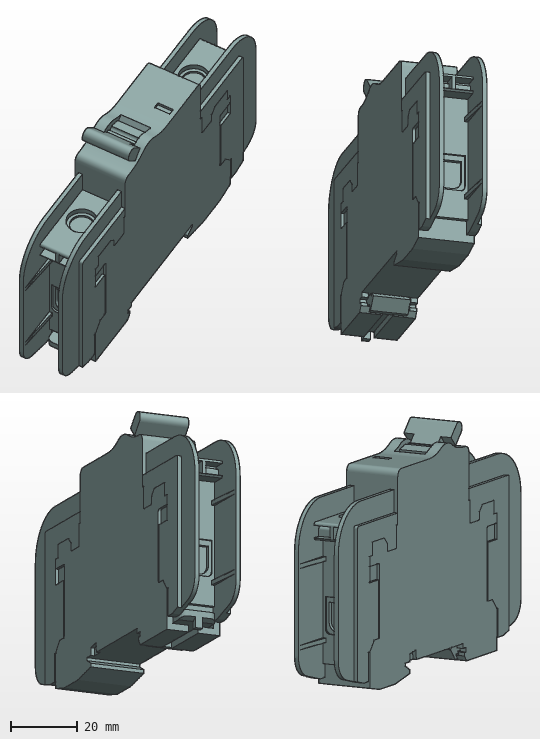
import cadquery as cq
import math


LENGTH = 115.7
WIDTH = 17.6
HEIGHT = 74.0
HALF_WIDTH = WIDTH / 2

TOP_Z = 66.0
TOP_HALF = 22.6
TOP_CORNER_R = 2.2
NECK_HALF = 23.3
NECK_TOP_Z = 49.1
NECK_BOTTOM_Z = 41.9
NECK_ROOT_R = 0.6
STEP_INNER_Y = 29.2
STEP_OUTER_Y = 38.5
STEP_Z = 46.4
STEP_CHAMFER = 2.0
END_Y = 40.3
END_TOP_Z = 42.2
RAIL_Z = 5.7

HOOK_ROOT_Y = 17.6
HOOK_TIP_Y = 14.8
HOOK_ROOT_Z = 4.7
HOOK_TIP_Z = (2.1, 3.2)
HOOK_FLAT_Y = (24.3, 34.0)
HOOK_FLAT_Z = 0.3
HOOK_END_Z = 1.7

FOOT_TOE_Y = -21.1
FOOT_LIP_Y = -19.7
FOOT_LIP_Z = (1.7, 2.8)
FOOT_GROOVE_Y = -20.7
FOOT_GROOVE_TOP_Z = 4.2
FOOT_FRONT_Y = -18.7

HUMP_START_Y = 2.5
HUMP_PEAK_Y = -8.3
HUMP_CREST_HALF = 3.6
HUMP_CREST_Z = 67.9

POCKET_DEPTH = 0.9
POCKET_Y = 34.0
POCKET_TOP_Z = 39.1
POCKET_BOTTOM_Z = 16.1
POCKET_CORNER_R = 0.7
POCKET_SLOPE_Y = 37.4
POCKET_SLOPE_Z = 12.8
TAB_Y = 34.7
TAB_TOP_Z = 34.1

WINDOW_X = (1.9, 7.2)
WINDOW_Y = (6.8, 8.9)
WINDOW_DEPTH = 0.9
NOTCH_DEPTH = 1.2
NOTCH_OUTLINE = [(HOOK_TIP_Y, RAIL_Z), (HOOK_TIP_Y, 8.1), (11.1, 8.7), (10.8, RAIL_Z)]

SLOT_HALF_X = 5.2
SLOT_FLOOR_Z = 64.8
SLOT_BACK_TOP = (-1.2, 66.4)
SLOT_BACK_FOOT_Y = -2.9
SLOT_FRONT_Y = -12.3
ROTOR_HALF_X = 4.9
ROTOR_FLAP_START = (-3.7, 66.5)
ROTOR_FLAP_END = (-7.4, 67.6)
ROTOR_GROOVE_MID = (-8.2, 66.7)
ROTOR_GROOVE_END = (-9.1, 66.9)
ROTOR_TOP_Z = 67.6
ROTOR_END_Y = -11.0
STEM_HALF_X = 4.6
HEAD_HALF_X = 8.1
HEAD_RADIUS = 2.1
HEAD_TIP_Y = -17.4
HEAD_TIP_Z = HEIGHT - HEAD_RADIUS
HEAD_LENGTH = 4.9
STEM_LENGTH = 4.6
TOGGLE_ANGLE = 45.0

CHANNEL_HALF_X = 6.7
CHANNEL_Z = 2.1
STEM_SLOT_HALF_X = 1.6
CLIP_HALF_X = 5.9
CLIP_Z = 2.8
CLIP_END_Y = -44.6
CLIP_CORNER_R = 2.2
CLIP_FOOT_Z = 0.3
CLIP_HOOK_HALF_X = 1.2
CLIP_HOOK_Y = -42.5
CLIP_END_Z = 3.7
JAW_OUTLINE = [(-17.6, 5.3), (-16.2, 3.9), (-19.3, CLIP_FOOT_Z), (FOOT_TOE_Y, CLIP_FOOT_Z), (-20.7, 4.2)]

FIN_OUTER_X = 7.5
FIN_INNER_X = 6.1
FIN_TOP_Z = 59.7
FIN_TOP_R = 14.5
FIN_BOTTOM_R = 7.0
FIN_CORNER_Z = 7.6
COVER_BOTTOM_Z = 3.9
COVER_INNER_Y = 41.0
COVER_SLOPE_Y = 44.1
COVER_Y = 48.0
COVER_TOP_Z = 52.7
COVER_EDGE_R = 0.8
WALL_Y = 42.4
WALL_BOTTOM_Z = 8.3
SCREW_Y = 33.5
SCREW_BORE_R = 4.7
SCREW_BORE_DEPTH = 1.7
SCREW_HEAD_R = 3.7
SCREW_HEAD_DEPTH = 2.4
SHELF_BOTTOM_Z = 47.2
SHELF_CHAMFER = 0.6
VENT_Z = (47.9, 51.7)
VENT_SILL_Z = 50.8
VENT_SILL_R = 0.9
VENT_FRONT_DEPTH = 2.9
VENT_DEPTH = 4.6
VENT_RIB_WIDTH = 1.2
ENTRY_HALF_X = 5.3
ENTRY_Z = (17.5, 28.9)
ENTRY_CORNER_R = 1.7
ENTRY_DEPTH = 0.7
WIRE_HALF_X = 4.4
WIRE_Z = (18.2, 27.2)
WIRE_CORNER_R = 3.0
RIB_END_Y = 56.5
RIB_ROOT = 1.0
RIB_HEIGHT = 1.4
RIB_Z = (14.9, 39.9)


def side_prism(points, x_min, x_max):
    """Closed Y-Z polygon extruded from x_min to x_max."""
    sketch = cq.Workplane("YZ", origin=(x_min, 0, 0)).polyline(points).close()
    return sketch.extrude(x_max - x_min)


def block(x_range, y_range, z_range):
    """Box between the given limits."""
    x0, x1 = x_range
    y0, y1 = y_range
    z0, z1 = z_range
    return cq.Workplane("XY").box(x1 - x0, y1 - y0, z1 - z0, centered=False).translate((x0, y0, z0))


def edges_at(y, z):
    """Selector for an edge that runs along X through the given Y and Z."""
    reach = 0.1
    low = (-HALF_WIDTH - reach, y - reach, z - reach)
    high = (HALF_WIDTH + reach, y + reach, z + reach)
    return cq.selectors.BoxSelector(low, high)


def breaker_profile():
    """Breaker solid over its full width, before any pocket or slot."""
    chamfer_y = STEP_INNER_Y + STEP_CHAMFER
    chamfer_z = STEP_Z - STEP_CHAMFER

    ramp_run = HUMP_START_Y - HUMP_PEAK_Y - HUMP_CREST_HALF
    ramp_rise = HUMP_CREST_Z - TOP_Z
    ramp_radius = (ramp_run**2 + ramp_rise**2) / (2 * ramp_rise)
    ramp_angle = math.asin(ramp_run / ramp_radius)
    ramp_mid_y = ramp_radius * math.sin(ramp_angle / 2)
    ramp_mid_z = TOP_Z + ramp_radius * (1 - math.cos(ramp_angle / 2))
    hump_peak_z = HUMP_CREST_Z + HUMP_CREST_HALF * math.tan(ramp_angle / 2)
    crest_start = (HUMP_PEAK_Y + HUMP_CREST_HALF, HUMP_CREST_Z)
    crest_end = (HUMP_PEAK_Y - HUMP_CREST_HALF, HUMP_CREST_Z)
    hump_end_y = 2 * HUMP_PEAK_Y - HUMP_START_Y

    sketch = (
        cq.Workplane("YZ", origin=(-HALF_WIDTH, 0, 0))
        .moveTo(HOOK_ROOT_Y, RAIL_Z)
        .lineTo(HOOK_ROOT_Y, HOOK_ROOT_Z)
        .lineTo(HOOK_TIP_Y, HOOK_TIP_Z[1])
        .lineTo(HOOK_TIP_Y, HOOK_TIP_Z[0])
        .lineTo(HOOK_FLAT_Y[0], HOOK_FLAT_Z)
        .lineTo(HOOK_FLAT_Y[1], HOOK_FLAT_Z)
        .lineTo(END_Y, HOOK_END_Z)
        .lineTo(END_Y, END_TOP_Z)
        .lineTo(STEP_OUTER_Y, END_TOP_Z)
        .lineTo(STEP_OUTER_Y, STEP_Z)
        .lineTo(chamfer_y, STEP_Z)
        .lineTo(STEP_INNER_Y, chamfer_z)
        .lineTo(STEP_INNER_Y, NECK_BOTTOM_Z)
        .lineTo(NECK_HALF, NECK_BOTTOM_Z)
        .lineTo(NECK_HALF, NECK_TOP_Z)
        .lineTo(TOP_HALF, NECK_TOP_Z)
        .lineTo(TOP_HALF, TOP_Z)
        .lineTo(HUMP_START_Y, TOP_Z)
        .threePointArc((HUMP_START_Y - ramp_mid_y, ramp_mid_z), crest_start)
        .threePointArc((HUMP_PEAK_Y, hump_peak_z), crest_end)
        .threePointArc((hump_end_y + ramp_mid_y, ramp_mid_z), (hump_end_y, TOP_Z))
        .lineTo(-TOP_HALF, TOP_Z)
        .lineTo(-TOP_HALF, NECK_TOP_Z)
        .lineTo(-NECK_HALF, NECK_TOP_Z)
        .lineTo(-NECK_HALF, NECK_BOTTOM_Z)
        .lineTo(-STEP_INNER_Y, NECK_BOTTOM_Z)
        .lineTo(-STEP_INNER_Y, chamfer_z)
        .lineTo(-chamfer_y, STEP_Z)
        .lineTo(-STEP_OUTER_Y, STEP_Z)
        .lineTo(-STEP_OUTER_Y, END_TOP_Z)
        .lineTo(-END_Y, END_TOP_Z)
        .lineTo(-END_Y, 0)
        .lineTo(FOOT_TOE_Y, 0)
        .lineTo(FOOT_LIP_Y, FOOT_LIP_Z[0])
        .lineTo(FOOT_LIP_Y, FOOT_LIP_Z[1])
        .lineTo(FOOT_GROOVE_Y, FOOT_LIP_Z[1])
        .lineTo(FOOT_GROOVE_Y, FOOT_GROOVE_TOP_Z)
        .lineTo(FOOT_FRONT_Y, FOOT_GROOVE_TOP_Z)
        .lineTo(FOOT_FRONT_Y, RAIL_Z)
        .close()
    )
    body = sketch.extrude(WIDTH)
    for side in (1, -1):
        body = body.edges(edges_at(side * TOP_HALF, TOP_Z)).fillet(TOP_CORNER_R)
        body = body.edges(edges_at(side * NECK_HALF, NECK_BOTTOM_Z)).fillet(NECK_ROOT_R)
        body = body.edges(edges_at(side * STEP_INNER_Y, NECK_BOTTOM_Z)).fillet(NECK_ROOT_R)
    return body


def both_faces(points):
    """Pocket-deep prisms on the -X and +X faces, on the +Y half."""
    near = side_prism(points, -HALF_WIDTH, -HALF_WIDTH + POCKET_DEPTH)
    return near, near.mirror("YZ")


def side_pockets():
    """Four shallow pockets in the breaker's side faces, one at each end of each face."""
    outline = [
        (END_Y, POCKET_TOP_Z),
        (POCKET_Y, POCKET_TOP_Z),
        (POCKET_Y, POCKET_BOTTOM_Z),
        (POCKET_SLOPE_Y, POCKET_BOTTOM_Z),
        (END_Y, POCKET_SLOPE_Z),
    ]
    pockets = []
    for pocket in both_faces(outline):
        rounded = pocket.faces("<Y").edges("|X").fillet(POCKET_CORNER_R)
        pockets += [rounded, rounded.mirror("XZ")]
    return pockets


def toggle_slot():
    """Slot in the hump with a sloping back wall."""
    points = [
        (SLOT_BACK_TOP[0], HEIGHT),
        SLOT_BACK_TOP,
        (SLOT_BACK_FOOT_Y, SLOT_FLOOR_Z),
        (SLOT_FRONT_Y, SLOT_FLOOR_Z),
        (SLOT_FRONT_Y, HEIGHT),
    ]
    return side_prism(points, -SLOT_HALF_X, SLOT_HALF_X)


def toggle_rotor():
    """Part of the toggle drum that shows inside the slot."""
    sketch = (
        cq.Workplane("YZ", origin=(-ROTOR_HALF_X, 0, 0))
        .moveTo(ROTOR_FLAP_START[0], SLOT_FLOOR_Z)
        .lineTo(*ROTOR_FLAP_START)
        .lineTo(*ROTOR_FLAP_END)
        .threePointArc(ROTOR_GROOVE_MID, ROTOR_GROOVE_END)
        .lineTo(ROTOR_GROOVE_END[0], ROTOR_TOP_Z)
        .lineTo(ROTOR_END_Y, ROTOR_TOP_Z)
        .lineTo(ROTOR_END_Y, SLOT_FLOOR_Z)
        .close()
    )
    return sketch.extrude(2 * ROTOR_HALF_X)


def toggle_lever():
    """Tilted stem and round-tipped head."""
    head = (
        cq.Workplane("YZ", origin=(-HEAD_HALF_X, 0, 0))
        .moveTo(-HEAD_RADIUS, -HEAD_LENGTH)
        .lineTo(-HEAD_RADIUS, 0)
        .threePointArc((0, HEAD_RADIUS), (HEAD_RADIUS, 0))
        .lineTo(HEAD_RADIUS, -HEAD_LENGTH)
        .close()
        .extrude(2 * HEAD_HALF_X)
    )
    stem_end = -HEAD_LENGTH - STEM_LENGTH
    stem = block((-STEM_HALF_X, STEM_HALF_X), (-HEAD_RADIUS, HEAD_RADIUS), (stem_end, -HEAD_LENGTH))
    lever = head.union(stem).rotate((0, 0, 0), (1, 0, 0), TOGGLE_ANGLE)
    return lever.translate((0, HEAD_TIP_Y, HEAD_TIP_Z))


def clip_channel():
    """T-shaped channel through the foot for the rail clip."""
    y_range = (-END_Y, FOOT_FRONT_Y)
    wide = block((-CHANNEL_HALF_X, CHANNEL_HALF_X), y_range, (CHANNEL_Z, RAIL_Z))
    narrow = block((-STEM_SLOT_HALF_X, STEM_SLOT_HALF_X), y_range, (0, CHANNEL_Z))
    return wide.union(narrow)


def rail_clip():
    """Clip bar under the rail ceiling, with a slanted jaw and a pull hook."""
    bar_points = [
        (FOOT_FRONT_Y, RAIL_Z),
        (CLIP_END_Y, RAIL_Z),
        (CLIP_END_Y, CLIP_END_Z),
        (CLIP_HOOK_Y, CLIP_Z),
        (FOOT_FRONT_Y, CLIP_Z),
    ]
    bar = side_prism(bar_points, -CLIP_HALF_X, CLIP_HALF_X).edges("|Z and <Y").fillet(CLIP_CORNER_R)
    jaw = side_prism(JAW_OUTLINE, -CLIP_HALF_X, CLIP_HALF_X)
    hook = block((-CLIP_HOOK_HALF_X, CLIP_HOOK_HALF_X), (CLIP_END_Y, CLIP_HOOK_Y), (CLIP_FOOT_Z, RAIL_Z))
    return bar.union(jaw).union(hook)


def make_breaker():
    body = breaker_profile()
    for pocket in side_pockets():
        body = body.cut(pocket)
    body = body.cut(block(WINDOW_X, WINDOW_Y, (TOP_Z - WINDOW_DEPTH, TOP_Z)))
    body = body.cut(side_prism(NOTCH_OUTLINE, -HALF_WIDTH, -HALF_WIDTH + NOTCH_DEPTH))
    body = body.cut(toggle_slot()).union(toggle_rotor()).union(toggle_lever())
    return body.cut(clip_channel()).union(rail_clip())


def cover_outline(half_x):
    """Rounded side outline of the +Y cover, extruded to +-half_x."""
    points = [
        (TOP_HALF, FIN_TOP_Z),
        (TOP_HALF, POCKET_SLOPE_Z),
        (COVER_INNER_Y, POCKET_SLOPE_Z),
        (COVER_INNER_Y, COVER_BOTTOM_Z),
        (COVER_SLOPE_Y, COVER_BOTTOM_Z),
        (LENGTH / 2, FIN_CORNER_Z),
        (LENGTH / 2, FIN_TOP_Z),
    ]
    outline = side_prism(points, -half_x, half_x)
    outline = outline.edges(edges_at(LENGTH / 2, FIN_TOP_Z)).fillet(FIN_TOP_R)
    return outline.edges(edges_at(LENGTH / 2, FIN_CORNER_Z)).fillet(FIN_BOTTOM_R)


def vent():
    """Split vent under the top edge of the cover, with a rounded sill behind it."""
    x_range = (-FIN_INNER_X, FIN_INNER_X)
    front_y = COVER_Y - VENT_FRONT_DEPTH
    opening = block(x_range, (COVER_Y - VENT_DEPTH, COVER_Y), VENT_Z)
    sill = block(x_range, (COVER_Y - VENT_DEPTH, front_y), (VENT_Z[0], VENT_SILL_Z))
    sill = sill.edges("|X and >Y and >Z").fillet(VENT_SILL_R)
    half_rib = VENT_RIB_WIDTH / 2
    rib = block((-half_rib, half_rib), (COVER_Y - VENT_DEPTH, COVER_Y), VENT_Z)
    return opening.cut(sill).cut(rib)


def wire_entry():
    """Shallow surround and a wire hole through the end wall, with rounded lower corners."""
    surround = block((-ENTRY_HALF_X, ENTRY_HALF_X), (WALL_Y - ENTRY_DEPTH, WALL_Y), ENTRY_Z)
    hole = block((-WIRE_HALF_X, WIRE_HALF_X), (END_Y, WALL_Y), WIRE_Z)
    surround = surround.faces("<Z").edges("|Y").fillet(ENTRY_CORNER_R)
    return surround.union(hole.faces("<Z").edges("|Y").fillet(WIRE_CORNER_R))


def screw_access():
    """Stepped round recess over the terminal screw."""
    top = cq.Workplane("XY", origin=(0, SCREW_Y, COVER_TOP_Z))
    return top.circle(SCREW_BORE_R).extrude(-SCREW_BORE_DEPTH).union(
        top.circle(SCREW_HEAD_R).extrude(-SCREW_HEAD_DEPTH)
    )


def fin_ribs():
    """Tapered ribs on the inner faces of both fins."""
    ribs = []
    for z in RIB_Z:
        points = [
            (FIN_INNER_X, WALL_Y),
            (FIN_INNER_X - RIB_ROOT, WALL_Y),
            (FIN_INNER_X, RIB_END_Y),
        ]
        rib = cq.Workplane("XY", origin=(0, 0, z)).polyline(points).close().extrude(RIB_HEIGHT)
        ribs += [rib, rib.mirror("YZ")]
    return ribs


def make_cover(envelope):
    """Terminal cover at the +Y end, fitted around the breaker envelope."""
    housing = block((-HALF_WIDTH, HALF_WIDTH), (TOP_HALF, COVER_Y), (COVER_BOTTOM_Z, COVER_TOP_Z))
    housing = housing.edges("|X and >Y and >Z").fillet(COVER_EDGE_R)
    housing = housing.intersect(cover_outline(HALF_WIDTH))
    inner_x = (-FIN_INNER_X, FIN_INNER_X)
    housing = housing.cut(block(inner_x, (TOP_HALF, COVER_Y), (COVER_BOTTOM_Z, WALL_BOTTOM_Z)))
    under_shelf = [
        (WALL_Y, WALL_BOTTOM_Z),
        (COVER_Y, WALL_BOTTOM_Z),
        (COVER_Y, SHELF_BOTTOM_Z + SHELF_CHAMFER),
        (COVER_Y - SHELF_CHAMFER, SHELF_BOTTOM_Z),
        (WALL_Y, SHELF_BOTTOM_Z),
    ]
    housing = housing.cut(side_prism(under_shelf, *inner_x))
    between_fins = block(inner_x, (TOP_HALF, LENGTH / 2), (0, FIN_TOP_Z))
    fins = cover_outline(FIN_OUTER_X).cut(between_fins)

    cover = housing.union(fins).cut(envelope)
    tab_points = [
        (END_Y, TAB_TOP_Z),
        (TAB_Y, TAB_TOP_Z),
        (TAB_Y, POCKET_BOTTOM_Z),
        (POCKET_SLOPE_Y, POCKET_BOTTOM_Z),
        (END_Y, POCKET_SLOPE_Z),
    ]
    for tab in both_faces(tab_points):
        cover = cover.union(tab)
    for rib in fin_ribs():
        cover = cover.union(rib)
    return cover.cut(vent()).cut(wire_entry()).cut(screw_access())


breaker = make_breaker()
envelope = breaker_profile()

covers = []
for flipped in (False, True):
    cover = make_cover(envelope)
    covers.append(cover.mirror("XZ") if flipped else cover)

result = cq.Compound.makeCompound([breaker.val(), *[cover.val() for cover in covers]])